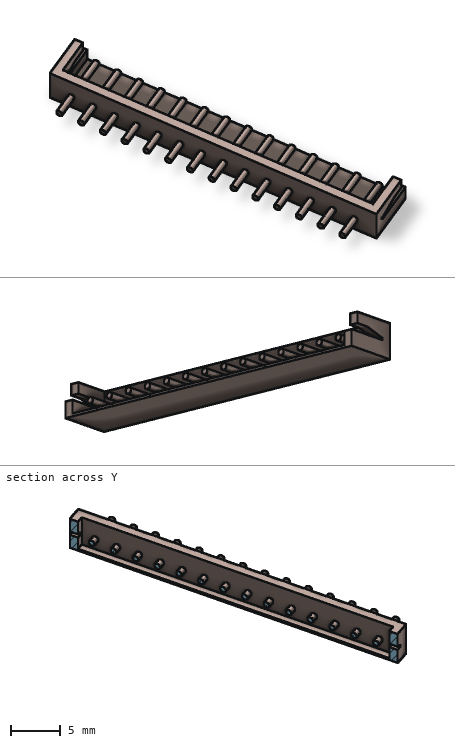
import cadquery as cq

pin_count = 14
pin_pitch = 2.5
pin_diameter = 0.7
pin_height = 1.6
pin_tail = 2.5

end_margin = 2.5
housing_length = (pin_count - 1) * pin_pitch + 2 * end_margin
housing_depth = 6.0
housing_height = 3.8
end_wall = 0.95
front_wall = 1.0
floor_thickness = 0.3

arm_setback = 0.9
arm_end = housing_depth - arm_setback
slot_bottom = 1.75
slot_mouth_top = 2.6
slot_taper_start = 3.6
slot_blunt_end = 1.2
slot_blunt_height = 0.2


def make_tray():
    """Floor, front wall and two end walls, open at the top and the back."""
    block = cq.Workplane("XY").box(
        housing_length, housing_depth, housing_height, centered=(True, False, False)
    )
    cavity = (
        cq.Workplane("XY", origin=(0, front_wall, floor_thickness))
        .box(
            housing_length - 2 * end_wall,
            housing_depth - front_wall,
            housing_height - floor_thickness,
            centered=(True, False, False),
        )
    )
    return block.cut(cavity)


def make_slot():
    """Tapered slot through both end walls, including the space behind the arms."""
    return (
        cq.Workplane("YZ")
        .moveTo(slot_blunt_end, slot_bottom)
        .lineTo(housing_depth, slot_bottom)
        .lineTo(housing_depth, housing_height)
        .lineTo(arm_end, housing_height)
        .lineTo(arm_end, slot_mouth_top)
        .lineTo(slot_taper_start, slot_mouth_top)
        .lineTo(slot_blunt_end, slot_bottom + slot_blunt_height)
        .close()
        .extrude(housing_length / 2, both=True)
    )


def make_pins():
    """Row of round pins along Y, from the tail tips to level with the arm ends."""
    first_pin_x = end_margin - housing_length / 2
    centres = [(first_pin_x + i * pin_pitch, pin_height) for i in range(pin_count)]
    return (
        cq.Workplane("XZ", origin=(0, arm_end, 0))
        .pushPoints(centres)
        .circle(pin_diameter / 2)
        .extrude(arm_end + pin_tail)
    )


result = make_tray().cut(make_slot()).union(make_pins())